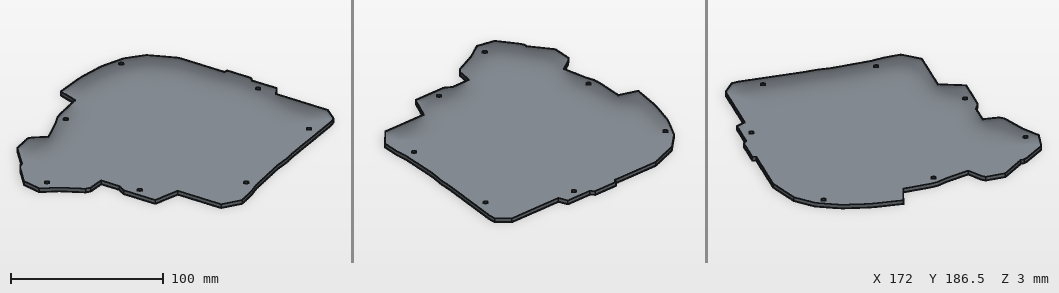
import cadquery as cq

length_x = 172.0
length_y = 186.5
thickness = 3.0
hole_diameter = 3.0

right = length_x / 2
left = -right
top = length_y / 2
bottom = -top

shoulder_y = 90.8
right_shoulder_y = 84.5
right_notch_y = -50.3
lower_edge_y = -67.5
inner_notch_y = -64.5
waist_x = 82.2
right_flat_x = 83.4
left_notch_x = -72.5
lobe_left_x = -76.0

left_shoulder = [
    (left, 16.2),
    (-83.7, 34.7),
    (-83.0, 39.2),
    (-78.5, 55.8),
    (-77.0, 59.1),
    (-70.5, 72.2),
    (-59.7, 83.2),
    (-39.7, shoulder_y),
]
top_tab = [
    (-5.0, shoulder_y),
    (-4.3, top),
    (13.6, top),
    (16.0, shoulder_y),
    (34.7, shoulder_y),
    (37.5, right_shoulder_y),
]
right_side = [
    (76.8, right_shoulder_y),
    (85.5, 77.2),
    (right, 72.2),
    (right_flat_x, 27.8),
    (right_flat_x, 19.2),
    (waist_x, 9.7),
    (waist_x, -18.3),
    (right_flat_x, -27.5),
    (right_flat_x, -39.0),
    (74.0, right_notch_y),
]
lower_steps = [
    (41.2, right_notch_y),
    (34.1, lower_edge_y),
    (10.3, lower_edge_y),
    (5.0, inner_notch_y),
    (-8.5, inner_notch_y),
]
lower_lobe = [
    (-10.0, -75.5),
    (-12.3, -78.3),
    (-28.0, -85.8),
    (-38.8, bottom),
    (-51.8, -90.6),
    (-62.5, -77.4),
    (-64.0, -74.5),
    (-64.0, -72.4),
    (lobe_left_x, -57.6),
    (lobe_left_x, -43.8),
    (-73.8, -41.4),
    (-65.3, -35.5),
]
left_notch = [
    (-69.5, -18.6),
    (-72.0, -12.3),
    (left_notch_x, -7.5),
    (left_notch_x, 12.0),
]

hole_centers = [
    (-68.6, 65.6),
    (24.2, 84.3),
    (77.8, 58.4),
    (75.0, -19.0),
    (19.0, -61.7),
    (-38.2, -84.3),
    (-66.2, -11.2),
]

outline = left_shoulder + top_tab + right_side + lower_steps + lower_lobe + left_notch

plate = cq.Workplane("XY").polyline(outline).close().extrude(thickness)
result = plate.faces(">Z").workplane(origin=(0, 0, 0)).pushPoints(hole_centers).hole(hole_diameter)